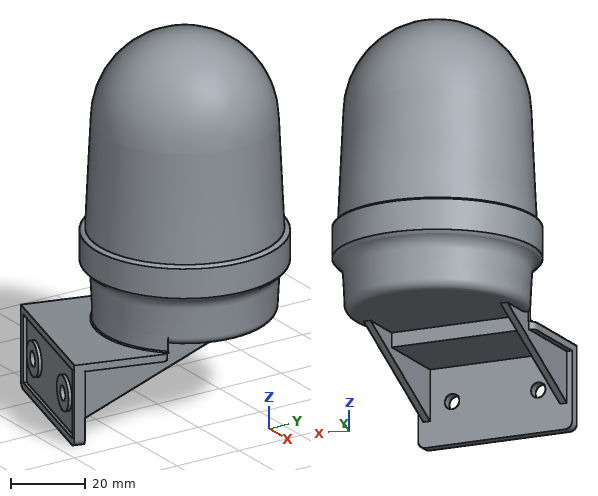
import cadquery as cq
import math


total_height = 107.4
dome_radius = 25.5
dome_base_z = total_height - dome_radius
ring_top_z = 50.4
ring_crown_height = 0.6
ring_bottom_z = 41.1
ring_lip_z = 40.3
cup_top_z = 36.6
cup_round_z = 28.5
cup_bottom_z = 25.9

lens_base_radius = 27.0
ring_radius = 28.5
ring_lip_radius = 27.7
cup_top_radius = 25.6
cup_low_radius = 25.1
cup_bottom_radius = 22.8

bracket_turn = -15
bracket_width = 46.1
half_width = bracket_width / 2
wall_face_y = -39.0
bracket_top_z = 24.0
shelf_thickness = 2.1
shelf_back_y = -12.0
wall_thickness = 3.0
wall_back_y = wall_face_y + wall_thickness
corner_radius = 2.0

rim_width = 2.0
relief_depth = 1.0
boss_radius = 5.0
hole_radius = 2.1
hole_spacing = 25.8
hole_z = 12.0

gusset_outer_x = 21.5
gusset_thickness = 2.0
gusset_low_z = 7.3
gusset_tip_y = 1.2

foot_height = 0.3
foot_overhang = 0.4


def block(x_min, x_max, y_min, y_max, z_min, z_max):
    return cq.Workplane("XY").box(
        x_max - x_min, y_max - y_min, z_max - z_min, centered=False
    ).translate((x_min, y_min, z_min))


def quarter_mid(centre, width, height):
    """Halfway point of a quarter round about centre, width across and height along."""
    return (centre[0] + width * math.sqrt(0.5), centre[1] + height * math.sqrt(0.5))


def make_lamp():
    """Solid of revolution: rounded cup, flare, clamping ring, tapered lens and dome."""
    flare_width = ring_lip_radius - cup_top_radius
    flare_height = ring_lip_z - cup_top_z
    flare_radius = (flare_width**2 + flare_height**2) / (2 * flare_width)
    half_sweep = math.asin(flare_height / flare_radius) / 2
    flare_mid = (
        cup_top_radius + flare_radius * (1 - math.cos(half_sweep)),
        cup_top_z + flare_radius * math.sin(half_sweep),
    )
    rim_mid = quarter_mid(
        (cup_bottom_radius, cup_round_z),
        cup_low_radius - cup_bottom_radius,
        cup_bottom_z - cup_round_z,
    )
    crown_base_z = ring_top_z - ring_crown_height
    crown_mid = quarter_mid(
        (lens_base_radius, crown_base_z), ring_radius - lens_base_radius, ring_crown_height
    )
    dome_mid = quarter_mid((0, dome_base_z), dome_radius, dome_radius)
    profile = (
        cq.Workplane("XZ")
        .moveTo(0, cup_bottom_z)
        .lineTo(cup_bottom_radius, cup_bottom_z)
        .threePointArc(rim_mid, (cup_low_radius, cup_round_z))
        .lineTo(cup_top_radius, cup_top_z)
        .threePointArc(flare_mid, (ring_lip_radius, ring_lip_z))
        .lineTo(ring_radius, ring_bottom_z)
        .lineTo(ring_radius, crown_base_z)
        .threePointArc(crown_mid, (lens_base_radius, ring_top_z))
        .lineTo(dome_radius, dome_base_z)
        .threePointArc(dome_mid, (0, total_height))
        .close()
    )
    return profile.revolve(360, (0, 0, 0), (0, 1, 0))


def make_collar():
    """Front part of a drum that joins the cup to the bracket shelf."""
    drum = (
        cq.Workplane("XY")
        .workplane(offset=bracket_top_z)
        .circle(cup_low_radius)
        .extrude(cup_round_z - bracket_top_z)
    )
    foot = (
        cq.Workplane("XY")
        .workplane(offset=bracket_top_z)
        .circle(cup_low_radius + foot_overhang)
        .workplane(offset=foot_height)
        .circle(cup_low_radius)
        .loft(ruled=True)
    )
    front_half = block(
        -half_width, half_width, wall_face_y, shelf_back_y, 0, total_height
    )
    return drum.union(foot).intersect(front_half)


def make_shelf():
    shelf_bottom_z = bracket_top_z - shelf_thickness
    shelf = block(
        -half_width, half_width, wall_face_y, shelf_back_y, shelf_bottom_z, bracket_top_z
    )
    return shelf.edges("|Z and >Y").fillet(corner_radius)


def make_wall_plate():
    plate = block(
        -half_width, half_width, wall_face_y, wall_back_y, 0, bracket_top_z
    )
    return plate.edges("|Y and <Z").fillet(corner_radius)


def make_gusset(x_min):
    """Sloped web below the shelf; its top reaches up into the rounded rim of the cup."""
    outline = [
        (wall_back_y, gusset_low_z),
        (gusset_tip_y, cup_bottom_z),
        (gusset_tip_y, cup_round_z),
        (shelf_back_y, cup_round_z),
        (shelf_back_y, bracket_top_z),
        (wall_back_y, bracket_top_z),
    ]
    side = cq.Workplane("YZ").workplane(offset=x_min).polyline(outline).close()
    return side.extrude(gusset_thickness)


def cut_wall_face(bracket):
    """Sink the wall face inside its rim, leaving a boss around each screw hole."""
    relief = block(
        -half_width + rim_width, half_width - rim_width,
        wall_face_y, wall_face_y + relief_depth,
        rim_width, bracket_top_z - rim_width,
    )
    hole_centres = [(-hole_spacing / 2, hole_z), (hole_spacing / 2, hole_z)]
    wall_plane = cq.Workplane("XZ", origin=(0, wall_face_y, 0)).pushPoints(hole_centres)
    bosses = wall_plane.circle(boss_radius).extrude(-relief_depth)
    holes = wall_plane.circle(hole_radius).extrude(-wall_thickness)
    return bracket.cut(relief.cut(bosses)).cut(holes)


def make_bracket():
    bracket = make_shelf().union(make_wall_plate())
    for x_min in (-gusset_outer_x, gusset_outer_x - gusset_thickness):
        bracket = bracket.union(make_gusset(x_min))
    bracket = cut_wall_face(bracket).union(make_collar())
    return bracket.rotate((0, 0, 0), (0, 0, 1), bracket_turn)


result = make_lamp().union(make_bracket())